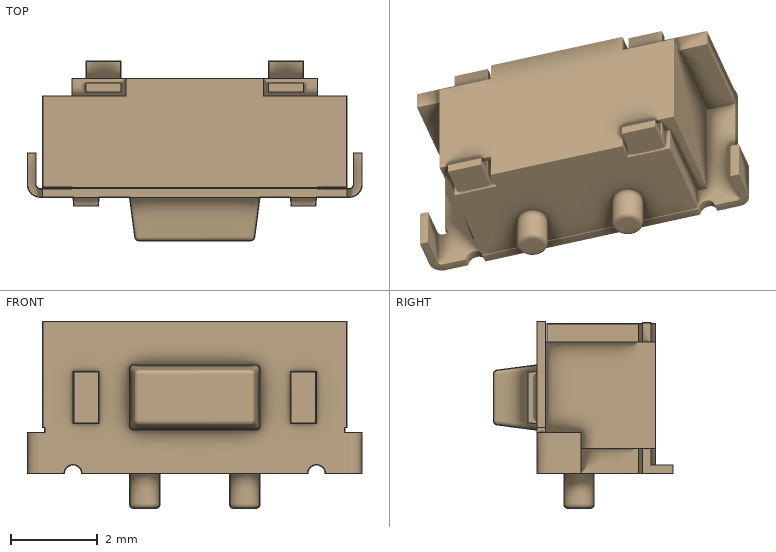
import cadquery as cq
import math

MIRRORED_SIDES = (-1, 1)

SHEET = 0.2
PLATE_WIDTH = 7.0
PLATE_HEIGHT = 3.5
PLATE_BACK_Y = -0.77
PLATE_FRONT_Y = PLATE_BACK_Y - SHEET
TAB_SPAN = 7.7
TAB_HEIGHT = 0.95
TAB_DEPTH = 1.02
BEND_OUTER_RADIUS = 0.3
RELIEF_DEPTH = 0.05
RELIEF_HEIGHT = 0.11
EDGE_NOTCH_X = 2.8
EDGE_NOTCH_RADIUS = 0.2

FLANGE_WIDTH = PLATE_WIDTH
FLANGE_DEPTH = 2.504
FLANGE_GAP = 0.03
FLANGE_FRONT_Y = PLATE_BACK_Y + FLANGE_GAP
BACK_Y = FLANGE_FRONT_Y + FLANGE_DEPTH
CORE_WIDTH = 5.65
FOOT_WIDTH = 5.2
FOOT_TOP_Z = 0.58
CORE_TOP_Z = 3.03
HOUSING_TOP_Z = 3.45
CORNER_DEPTH = 0.4
TONGUE_WIDTH = 3.17

TERMINAL_X = 2.1
TERMINAL_WIDTH = 0.8
TERMINAL_THICKNESS = 0.2
TERMINAL_INSET = 0.11
TERMINAL_TOP_Z = 3.47
TERMINAL_REACH = 0.4

PIN_X = 1.15
PIN_DIAMETER = 0.7
PIN_LENGTH = 0.8
PIN_TIP_RADIUS = 0.1

FRONT_CENTRE_Z = PLATE_HEIGHT / 2
BUTTON_WIDTH = 3.0
BUTTON_HEIGHT = 1.5
BUTTON_LENGTH = 1.0
BUTTON_DRAFT = 7.5
BUTTON_EDGE_RADIUS = 0.1
STUD_X = 2.5
STUD_WIDTH = 0.6
STUD_HEIGHT = 1.2
STUD_LENGTH = 0.2
STUD_DRAFT = 5.0


def block(x_min, x_max, y_min, y_max, z_min, z_max):
    """Axis-aligned box between the given limits."""
    size = (x_max - x_min, y_max - y_min, z_max - z_min)
    return cq.Workplane("XY").box(*size, centered=False).translate((x_min, y_min, z_min))


def centred_block(x_centre, width, y_min, y_max, z_min, z_max):
    """Axis-aligned box centred on x_centre."""
    return block(x_centre - width / 2, x_centre + width / 2, y_min, y_max, z_min, z_max)


def front_prism(start_y, x_centre, width, height, length, draft=0):
    """Rectangular prism growing forwards (-Y) from start_y, narrowing by the draft angle."""
    return (
        cq.Workplane("XZ", origin=(x_centre, start_y, FRONT_CENTRE_Z))
        .rect(width, height)
        .extrude(length, taper=draft)
    )


def button_shank():
    """Straight length of the button that fills its window in the plate."""
    shank = front_prism(PLATE_BACK_Y, 0, BUTTON_WIDTH, BUTTON_HEIGHT, SHEET)
    return shank.edges("|Y").fillet(BUTTON_EDGE_RADIUS)


def stud_shank(side):
    """Straight length of a stud that fills its window in the plate."""
    return front_prism(PLATE_BACK_Y, side * STUD_X, STUD_WIDTH, STUD_HEIGHT, SHEET)


def bent_tab(side):
    """L-shaped tab: a strip along the plate, a rounded bend and a leg running backwards."""
    outer_x = TAB_SPAN / 2
    inner_radius = BEND_OUTER_RADIUS - SHEET
    bend_x = outer_x - BEND_OUTER_RADIUS
    bend_y = PLATE_FRONT_Y + BEND_OUTER_RADIUS
    end_y = PLATE_FRONT_Y + TAB_DEPTH
    root_x = PLATE_WIDTH / 2 - RELIEF_DEPTH
    diagonal = math.sqrt(0.5)
    outer_mid = (bend_x + BEND_OUTER_RADIUS * diagonal, bend_y - BEND_OUTER_RADIUS * diagonal)
    inner_mid = (bend_x + inner_radius * diagonal, bend_y - inner_radius * diagonal)
    tab = (
        cq.Workplane("XY")
        .moveTo(root_x, PLATE_FRONT_Y)
        .lineTo(bend_x, PLATE_FRONT_Y)
        .threePointArc(outer_mid, (outer_x, bend_y))
        .lineTo(outer_x, end_y)
        .lineTo(outer_x - SHEET, end_y)
        .lineTo(outer_x - SHEET, bend_y)
        .threePointArc(inner_mid, (bend_x, PLATE_BACK_Y))
        .lineTo(root_x, PLATE_BACK_Y)
        .close()
        .extrude(TAB_HEIGHT)
    )
    return tab if side > 0 else tab.mirror("YZ")


def make_plate():
    """Cover plate with bent tabs, bend reliefs, edge notches and windows."""
    plate = centred_block(0, PLATE_WIDTH, PLATE_FRONT_Y, PLATE_BACK_Y, 0, PLATE_HEIGHT)
    for side in MIRRORED_SIDES:
        relief = centred_block(
            side * PLATE_WIDTH / 2, 2 * RELIEF_DEPTH,
            PLATE_FRONT_Y, PLATE_BACK_Y,
            TAB_HEIGHT, TAB_HEIGHT + RELIEF_HEIGHT,
        )
        notch = (
            cq.Workplane("XZ", origin=(side * EDGE_NOTCH_X, PLATE_BACK_Y, 0))
            .circle(EDGE_NOTCH_RADIUS)
            .extrude(SHEET)
        )
        plate = plate.cut(relief).union(bent_tab(side)).cut(notch).cut(stud_shank(side))
    return plate.cut(button_shank())


def housing_layer(width, z_min, z_max):
    """Housing slab whose rear corners are cut away, leaving a central tongue to the back."""
    slab = centred_block(0, width, FLANGE_FRONT_Y, BACK_Y - CORNER_DEPTH, z_min, z_max)
    tongue = centred_block(0, TONGUE_WIDTH, FLANGE_FRONT_Y, BACK_Y, z_min, z_max)
    return slab.union(tongue)


def make_terminal(side):
    """Terminal leg running the full height, with its solder foot behind the housing."""
    leg_back_y = BACK_Y - TERMINAL_INSET
    leg_front_y = leg_back_y - TERMINAL_THICKNESS
    centre_x = side * TERMINAL_X
    leg = centred_block(centre_x, TERMINAL_WIDTH, leg_front_y, leg_back_y, 0, TERMINAL_TOP_Z)
    foot = centred_block(
        centre_x, TERMINAL_WIDTH, leg_front_y, BACK_Y + TERMINAL_REACH, 0, TERMINAL_THICKNESS
    )
    return leg.union(foot)


def make_pin(side):
    """Round locating pin below the housing with a rounded tip."""
    pin = cq.Workplane("XY").center(side * PIN_X, 0).circle(PIN_DIAMETER / 2).extrude(-PIN_LENGTH)
    return pin.faces("<Z").edges().fillet(PIN_TIP_RADIUS)


def make_button():
    """Drafted push button with rounded edges, on its straight shank."""
    cap = front_prism(PLATE_FRONT_Y, 0, BUTTON_WIDTH, BUTTON_HEIGHT, BUTTON_LENGTH, BUTTON_DRAFT)
    cap = cap.edges("not(>Y)").fillet(BUTTON_EDGE_RADIUS)
    return button_shank().union(cap)


def make_stud(side):
    """Slightly drafted stud on its straight shank."""
    head = front_prism(
        PLATE_FRONT_Y, side * STUD_X, STUD_WIDTH, STUD_HEIGHT, STUD_LENGTH, STUD_DRAFT
    )
    return stud_shank(side).union(head)


def make_housing():
    """Housing with terminals, pins, button and studs as one solid."""
    housing = centred_block(0, CORE_WIDTH, PLATE_BACK_Y, BACK_Y, FOOT_TOP_Z, CORE_TOP_Z)
    housing = housing.union(housing_layer(FLANGE_WIDTH, CORE_TOP_Z, HOUSING_TOP_Z))
    housing = housing.union(housing_layer(FOOT_WIDTH, 0, FOOT_TOP_Z))
    housing = housing.union(make_button())
    for side in MIRRORED_SIDES:
        housing = housing.union(make_terminal(side))
        housing = housing.union(make_pin(side))
        housing = housing.union(make_stud(side))
    return housing


plate = make_plate()
housing = make_housing()
result = cq.Compound.makeCompound([plate.solids().val(), housing.solids().val()])